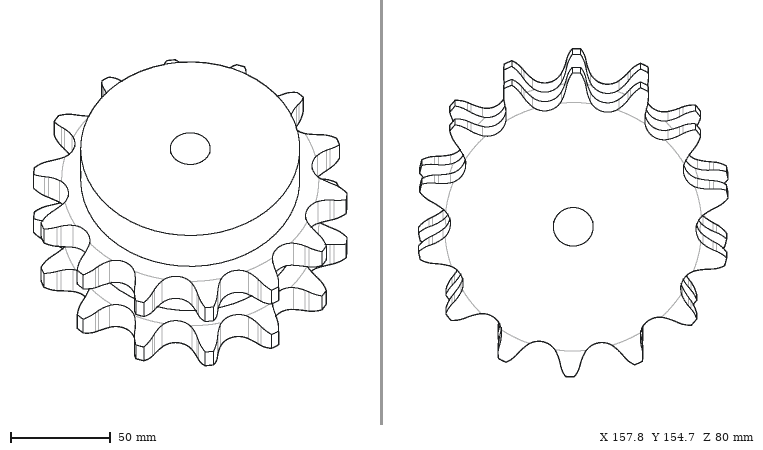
import cadquery as cq
import math

tooth_count = 14
chain_pitch = 31.7
roller_diameter = 19.1
seating_radius = 9.6
outer_diameter = 157.8
total_height = 80.0
row_width = 18.1
row_spacing = 36.5
row_count = 2
hub_diameter = 110.0
bore_diameter = 20.0

flat_face_radius = 64.5
flank_radius = 32.0

AXIS_START = (0, 0, 0)
AXIS_END = (0, 0, 1)

tooth_angle = 360 / tooth_count
outer_radius = outer_diameter / 2
pitch_radius = chain_pitch / (2 * math.sin(math.pi / tooth_count))

seating_end_angle = 35 + 60 / tooth_count
working_arc_sweep = 18 - 56 / tooth_count
working_center_distance = 0.8 * roller_diameter
topping_center_distance = 1.4 * roller_diameter


def polar(distance, degrees):
    """Vector of the given length and direction in the XY plane."""
    angle = math.radians(degrees)
    return cq.Vector(distance * math.cos(angle), distance * math.sin(angle))


def tooth_side():
    """Edges from gap root to across the tooth tip, on the +X side of a gap that opens along +Y.

    Seating arc, working arc, straight stretch and topping arc follow each other tangentially,
    and an arc of the outer circle closes the tooth tip.
    """
    roller_center = cq.Vector(0, pitch_radius)
    root = roller_center + polar(seating_radius, -90)
    seating_middle = roller_center + polar(seating_radius, -(90 + seating_end_angle) / 2)
    seating_end = roller_center + polar(seating_radius, -seating_end_angle)

    working_center = roller_center + polar(working_center_distance, 180 - seating_end_angle)
    working_radius = working_center_distance + seating_radius
    straight_normal_angle = working_arc_sweep - seating_end_angle
    working_middle_angle = straight_normal_angle - working_arc_sweep / 2
    working_middle = working_center + polar(working_radius, working_middle_angle)
    working_end = working_center + polar(working_radius, straight_normal_angle)

    topping_center = roller_center + polar(topping_center_distance, -tooth_angle / 2)
    normal = polar(1, straight_normal_angle)
    topping_radius = (topping_center - working_end).dot(normal)
    straight_end = topping_center - normal * topping_radius

    center_distance = topping_center.Length
    center_direction = math.degrees(math.atan2(topping_center.y, topping_center.x))
    tip_offset = math.degrees(math.acos(
        (center_distance**2 + outer_radius**2 - topping_radius**2)
        / (2 * center_distance * outer_radius)
    ))
    tip_direction = center_direction + tip_offset
    tooth_direction = 90 - tooth_angle / 2
    tip = polar(outer_radius, tip_direction)
    tip_land_middle = polar(outer_radius, tooth_direction)
    next_tip = polar(outer_radius, 2 * tooth_direction - tip_direction)
    topping_direction = ((straight_end + tip) * 0.5 - topping_center).normalized()
    topping_middle = topping_center + topping_direction * topping_radius

    return [
        cq.Edge.makeThreePointArc(root, seating_middle, seating_end),
        cq.Edge.makeThreePointArc(seating_end, working_middle, working_end),
        cq.Edge.makeLine(working_end, straight_end),
        cq.Edge.makeThreePointArc(straight_end, topping_middle, tip),
        cq.Edge.makeThreePointArc(tip, tip_land_middle, next_tip),
    ]


def toothed_blank():
    """Toothed plate of one row, before its faces are rounded, with a gap centred on +Y."""
    right_side = tooth_side()
    *left_flank, _ = [edge.mirror("YZ") for edge in right_side]
    gap = right_side + left_flank
    outline = [
        edge.rotate(AXIS_START, AXIS_END, index * tooth_angle)
        for index in range(tooth_count)
        for edge in gap
    ]
    return cq.Workplane("XY").add(cq.Wire.combine(outline)[0]).toPending().extrude(row_width)


def rounded_disc():
    """Disc whose rim thins along arcs tangent to both flat faces."""
    rim_reach = outer_radius - flat_face_radius
    rim_drop = flank_radius - math.sqrt(flank_radius**2 - rim_reach**2)
    half_angle = math.asin(rim_reach / flank_radius) / 2
    middle_radius = flat_face_radius + flank_radius * math.sin(half_angle)
    middle_drop = flank_radius * (1 - math.cos(half_angle))
    return (
        cq.Workplane("XZ")
        .lineTo(flat_face_radius, 0)
        .threePointArc((middle_radius, middle_drop), (outer_radius, rim_drop))
        .lineTo(outer_radius, row_width - rim_drop)
        .threePointArc((middle_radius, row_width - middle_drop), (flat_face_radius, row_width))
        .lineTo(0, row_width)
        .close()
        .revolve(360, (0, 0), (0, 1))
    )


tooth_turn = tooth_angle / 2 - 90
tooth_row = toothed_blank().rotate(AXIS_START, AXIS_END, tooth_turn).intersect(rounded_disc())

result = cq.Workplane("XY").circle(hub_diameter / 2).extrude(total_height)
for row in range(row_count):
    result = result.union(tooth_row.translate((0, 0, row * row_spacing)))

bore = cq.Workplane("XY").circle(bore_diameter / 2).extrude(total_height)
result = result.cut(bore)